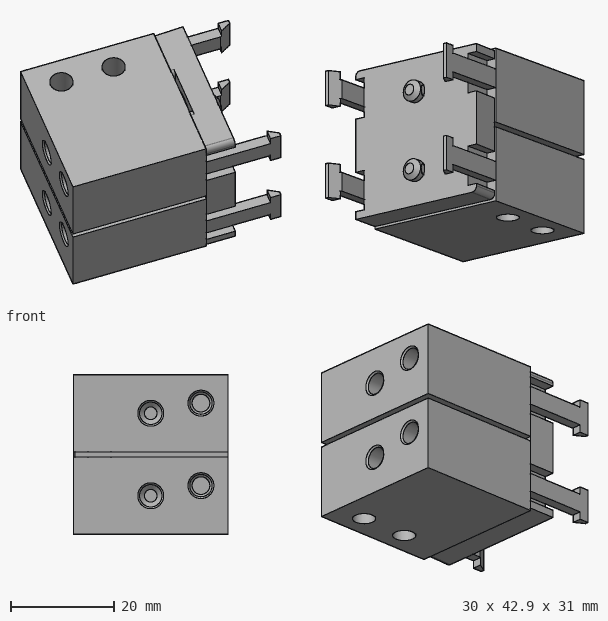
import cadquery as cq

width = 30.0
total_length = 42.9
block_length = 27.5
block_height = 15.0
block_gap = 1.0

block_pitch = block_height + block_gap
total_height = block_pitch + block_height
center_x = width / 2
block_bottoms = [0, block_pitch]
axis_heights = [bottom + block_height / 2 for bottom in block_bottoms]

cross_hole_diameter = 4.5
cross_hole_x = 5.05
cross_hole_ys = [6.6, 17.37]

port_mouth_diameter = 5.0
port_diameter = 4.35
port_depth = 10.0
main_port_floor_diameter = 2.45
side_port_floor_diameter = 3.45
side_port_offset_x = 9.75
side_port_offset_z = 1.97

plate_thickness = 6.0
plate_height = width
plate_corner_radius = 1.1
plate_taper = 0.25
plate_rear_y = block_length + plate_thickness
plate_bottom = (total_height - plate_height) / 2
plate_top = plate_bottom + plate_height

clip_thickness = 2.15
clip_arm_height = 3.8
clip_head_height = 7.0
clip_head_length = 2.15
clip_tip_thickness = 0.75
clip_bevel_length = 2.4
clip_heights = [6.1, 24.9]
clip_slot_height = 8.0

pin_diameter = 4.3
pin_protrusion = 2.05
pin_tip_diameter = 2.15
pin_tip_length = 0.77
pin_head_diameter = 9.95
pin_head_thickness = 0.8
pin_head_bevel = 0.35
dimple_mouth_diameter = 2.65
dimple_floor_diameter = 2.15
dimple_depth = 0.45
dimple_inset = 0.25

neck_left = 4.8
neck_right = 4.15
neck_left_radius = 1.0
neck_right_radius = 1.67


def revolve_along_y(profile, x, y, z):
    """Turn (radius, length) points into a solid whose axis runs along +Y from (x, y, z)."""
    outline = cq.Workplane("XY").polyline(profile).close()
    return outline.revolve(360, (0, 0, 0), (0, 1, 0)).translate((x, y, z))


def port_cutter(x, z, floor_diameter):
    """Blind port with a chamfered mouth and a 45 degree cone down to a flat floor."""
    mouth_radius = port_mouth_diameter / 2
    bore_radius = port_diameter / 2
    floor_radius = floor_diameter / 2
    profile = [
        (0, 0),
        (mouth_radius, 0),
        (bore_radius, mouth_radius - bore_radius),
        (bore_radius, port_depth),
        (floor_radius, port_depth + bore_radius - floor_radius),
        (0, port_depth + bore_radius - floor_radius),
    ]
    return revolve_along_y(profile, x, 0, z)


def make_block(bottom):
    axis_z = bottom + block_height / 2
    block = cq.Workplane("XY").box(width, block_length, block_height, centered=False)
    block = block.translate((0, 0, bottom))
    cross_holes = (
        cq.Workplane("XY", origin=(0, 0, bottom))
        .pushPoints([(cross_hole_x, y) for y in cross_hole_ys])
        .circle(cross_hole_diameter / 2)
        .extrude(block_height)
    )
    main_port = port_cutter(center_x, axis_z, main_port_floor_diameter)
    side_port = port_cutter(
        center_x + side_port_offset_x, axis_z + side_port_offset_z, side_port_floor_diameter
    )
    return block.cut(cross_holes).cut(main_port).cut(side_port)


def make_pin(axis_z):
    """Headed pin: bevelled head, plain shank, conical tip and a dimple in its left flank."""
    head_radius = pin_head_diameter / 2
    shank_radius = pin_diameter / 2
    pin_length = plate_thickness + pin_protrusion
    profile = [
        (0, 0),
        (head_radius - pin_head_bevel, 0),
        (head_radius, pin_head_bevel),
        (head_radius, pin_head_thickness),
        (shank_radius, pin_head_thickness),
        (shank_radius, pin_length - pin_tip_length),
        (pin_tip_diameter / 2, pin_length),
        (0, pin_length),
    ]
    pin = revolve_along_y(profile, center_x, block_length, axis_z)
    dimple = (
        cq.Workplane("YZ", origin=(center_x - shank_radius, plate_rear_y - dimple_inset, axis_z))
        .circle(dimple_mouth_diameter / 2)
        .workplane(offset=dimple_depth)
        .circle(dimple_floor_diameter / 2)
        .loft(ruled=True)
    )
    return pin.cut(dimple)


def neck_cutter(axis_z):
    """Opening from a pin head recess up through the plate top, with rounded mouth edges."""
    left = center_x - neck_left
    right = center_x + neck_right
    outline = (
        cq.Workplane("XZ", origin=(0, block_length, 0))
        .moveTo(left, axis_z)
        .lineTo(left, plate_top - neck_left_radius)
        .radiusArc((left - neck_left_radius, plate_top), -neck_left_radius)
        .lineTo(right + neck_right_radius, plate_top)
        .radiusArc((right, plate_top - neck_right_radius), -neck_right_radius)
        .lineTo(right, axis_z)
        .close()
    )
    return outline.extrude(-pin_head_thickness)


def make_plate():
    footprint = [
        (plate_taper, block_length),
        (width, block_length),
        (width, plate_rear_y),
        (0, plate_rear_y),
    ]
    plate = cq.Workplane("XY", origin=(0, 0, plate_bottom)).polyline(footprint).close()
    plate = plate.extrude(plate_height)

    mid_y = block_length + plate_thickness / 2
    for corner in [(plate_taper / 2, mid_y, plate_bottom), (width, mid_y, plate_top)]:
        corner_edge = cq.selectors.NearestToPointSelector(corner)
        plate = plate.edges(corner_edge).fillet(plate_corner_radius)

    for clip_z in clip_heights:
        for slot_x in (clip_thickness / 2, width - clip_thickness / 2):
            slot = cq.Workplane("XY").box(clip_thickness, plate_thickness, clip_slot_height)
            plate = plate.cut(slot.translate((slot_x, mid_y, clip_z)))

    for axis_z in axis_heights:
        front = cq.Workplane("XZ", origin=(center_x, block_length, axis_z))
        plate = plate.cut(front.circle(pin_diameter / 2).extrude(-plate_thickness))
        plate = plate.cut(front.circle(pin_head_diameter / 2).extrude(-pin_head_thickness))
    return plate.cut(neck_cutter(axis_heights[-1]))


def make_left_clip(clip_z):
    """T-headed clip standing on the block's rear face; its inner side is bevelled at the tip."""
    bevel_start = total_length - clip_bevel_length
    side_outline = [
        (0, block_length),
        (clip_thickness, block_length),
        (clip_thickness, bevel_start),
        (clip_tip_thickness, total_length),
        (0, total_length),
    ]
    clip = cq.Workplane("XY", origin=(0, 0, clip_z)).polyline(side_outline).close()
    clip = clip.extrude(clip_head_height / 2, both=True)

    arm_length = total_length - clip_head_length - block_length
    relief_height = (clip_head_height - clip_arm_height) / 2
    relief_offset = (clip_head_height + clip_arm_height) / 4
    for side in (-1, 1):
        relief = cq.Workplane("XY").box(clip_thickness, arm_length, relief_height)
        relief = relief.translate(
            (clip_thickness / 2, block_length + arm_length / 2, clip_z + side * relief_offset)
        )
        clip = clip.cut(relief)
    return clip


def make_right_clip(clip_z):
    return make_left_clip(clip_z).mirror("YZ", (center_x, 0, 0))


blocks = [make_block(bottom) for bottom in block_bottoms]
plate = make_plate()
pins = [make_pin(axis_z) for axis_z in axis_heights]
left_clips = [make_left_clip(clip_z) for clip_z in clip_heights]
right_clips = [make_right_clip(clip_z) for clip_z in clip_heights]

bodies = [*blocks, plate, *pins, *left_clips, *right_clips]
result = cq.Compound.makeCompound([body.val() for body in bodies])